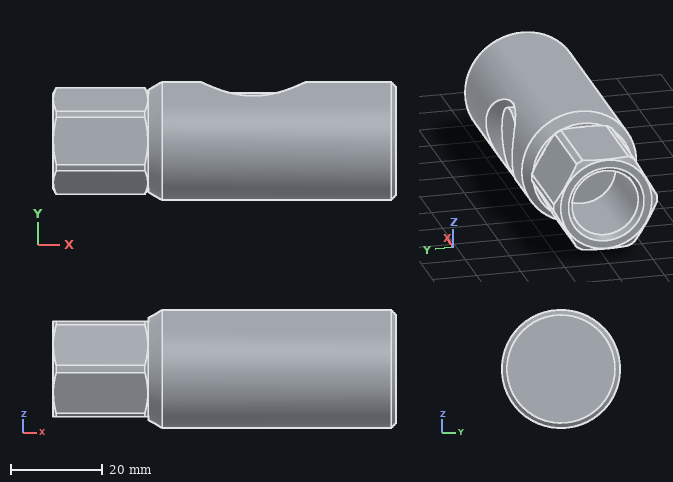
import cadquery as cq
import math

total_length = 75.4

body_diameter = 26.0
body_radius = body_diameter / 2
shoulder_length = 3.0
shoulder_angle = 30.0
end_chamfer = 1.1

hex_length = 20.95
hex_across_flats = 21.0
hex_corner_diameter = 23.45
hex_turn = 30.0
hex_end_diameter = 20.65
hex_end_chamfer_length = 0.75

bore_diameter = 15.0
bore_depth = hex_length
bore_chamfer = 1.05

recess_center_x = 44.0
recess_mouth_radius = 11.5
recess_half_angle = 45.0
boss_radius = 7.0
boss_top_y = 10.55


def make_body():
    """Solid round body with a conical shoulder and a chamfered far end."""
    shoulder_radius = body_radius - shoulder_length * math.tan(math.radians(shoulder_angle))
    profile = (
        cq.Workplane("XY")
        .moveTo(hex_length, 0)
        .lineTo(hex_length, shoulder_radius)
        .lineTo(hex_length + shoulder_length, body_radius)
        .lineTo(total_length - end_chamfer, body_radius)
        .lineTo(total_length, body_radius - end_chamfer)
        .lineTo(total_length, 0)
        .close()
    )
    return profile.revolve(360, (0, 0, 0), (1, 0, 0))


def make_hex_drive():
    """Hexagon with flats facing +Z and -Z, its corners rounded and both ends chamfered."""
    hexagon = (
        cq.Workplane("YZ")
        .polygon(6, hex_across_flats, circumscribed=True)
        .extrude(hex_length)
        .rotate((0, 0, 0), (1, 0, 0), hex_turn)
    )
    corner_radius = hex_corner_diameter / 2
    end_radius = hex_end_diameter / 2
    envelope = (
        cq.Workplane("XY")
        .lineTo(0, end_radius)
        .lineTo(hex_end_chamfer_length, corner_radius)
        .lineTo(hex_length - hex_end_chamfer_length, corner_radius)
        .lineTo(hex_length, end_radius)
        .lineTo(hex_length, 0)
        .close()
        .revolve(360, (0, 0, 0), (1, 0, 0))
    )
    return hexagon.intersect(envelope)


def make_bore():
    """Chamfered blind bore, as the volume to remove."""
    bore_radius = bore_diameter / 2
    profile = (
        cq.Workplane("XY")
        .lineTo(0, bore_radius + bore_chamfer)
        .lineTo(bore_chamfer, bore_radius)
        .lineTo(bore_depth, bore_radius)
        .lineTo(bore_depth, 0)
        .close()
    )
    return profile.revolve(360, (0, 0, 0), (1, 0, 0))


def make_recess():
    """Ring-shaped recess between the cone and the boss, as the volume to remove."""
    recess_slope = math.tan(math.radians(recess_half_angle))
    boss_foot_y = body_radius - (recess_mouth_radius - boss_radius) / recess_slope
    profile = (
        cq.Workplane("XY", origin=(recess_center_x, 0, 0))
        .moveTo(0, boss_top_y)
        .lineTo(boss_radius, boss_top_y)
        .lineTo(boss_radius, boss_foot_y)
        .lineTo(recess_mouth_radius, body_radius)
        .lineTo(0, body_radius)
        .close()
    )
    return profile.revolve(360, (0, 0, 0), (0, 1, 0))


result = make_body().union(make_hex_drive()).cut(make_bore()).cut(make_recess())